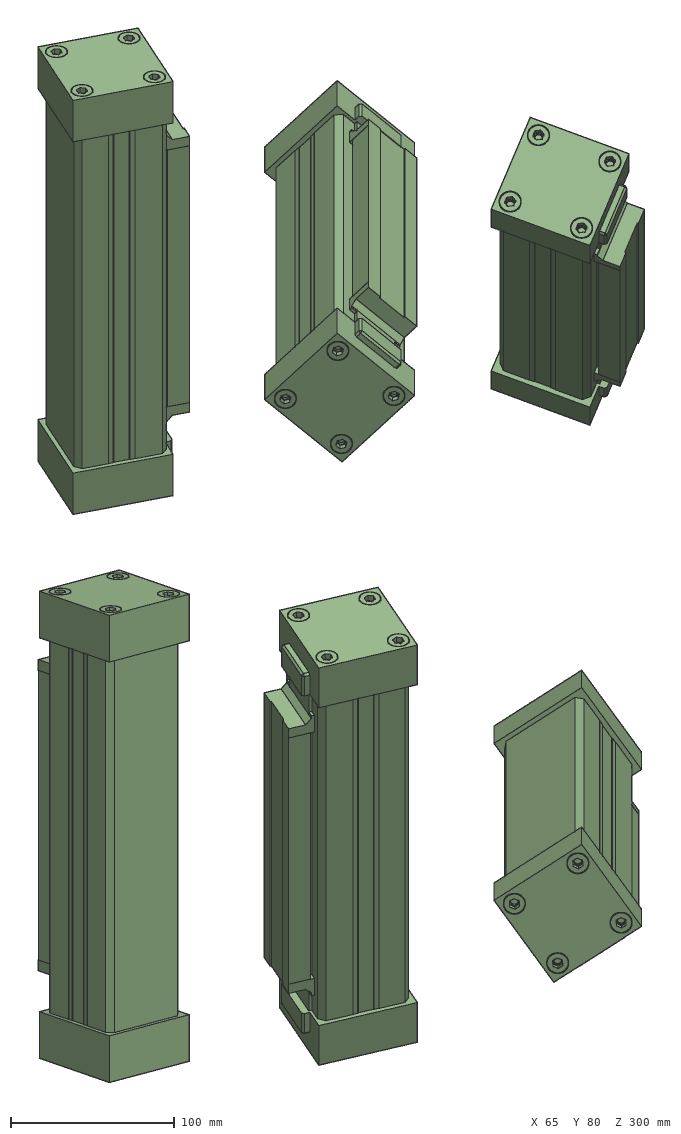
import cadquery as cq
import math

TOTAL_LENGTH = 300.0
CAP_SIDE = 65.0
CAP_LENGTH = 30.0
CAP_BACK = CAP_SIDE / 2
CAP_TOP = TOTAL_LENGTH / 2
TUBE_LENGTH = TOTAL_LENGTH - 2 * CAP_LENGTH
TUBE_WIDTH = 59.0
TUBE_FRONT = -29.5
TUBE_BACK = 30.5
TUBE_CHAMFER = 4.0

GROOVE_STEPS = [(17.2, 0.15), (10.8, 0.3), (10.0, 0.45)]
GROOVE_CENTRE = 0.15

BAND_WIDTH = 32.0
BAND_BACK = CAP_BACK

CLAMP_WIDTH = 35.4
CLAMP_LENGTH = 16.0
CLAMP_HEIGHT = 5.0
CLAMP_CHAMFER = 1.4

SCREW_SPACING = 47.0
HEAD_DIAMETER = 13.0
COUNTERBORE_DIAMETER = 13.5
HEAD_GAP_DEPTH = 1.0
SOCKET_ACROSS_FLATS = 6.0
SOCKET_DEPTH = 4.0
SOCKET_BORE_DIAMETER = 4.92
SOCKET_BORE_DEPTH = 6.0

CARRIAGE_LENGTH = 199.8
CARRIAGE_HEIGHT = 15.0
CARRIAGE_BACK = CAP_BACK + CARRIAGE_HEIGHT
FOOT_LENGTH = 211.4
FLARE = 3.8
END_WIDTH = 40.6
BODY_WIDTH = 40.4
BODY_LENGTH = 186.0
BODY_CLEARANCE = 0.7
NOTCH_WIDTH = 20.4
NOTCH_DEPTH = 0.8


def block(width, front, back, length):
    """Box centred on X and Z that spans front to back along Y."""
    return cq.Workplane("XY").box(width, back - front, length).translate((0, (front + back) / 2, 0))


def make_tube():
    """Chamfered tube with a stepped groove along both sides."""
    tube = block(TUBE_WIDTH, TUBE_FRONT, TUBE_BACK, TUBE_LENGTH).edges("|Z").chamfer(TUBE_CHAMFER)
    for side in (-1, 1):
        for width, depth in GROOVE_STEPS:
            cutter = cq.Workplane("XY").box(2 * depth, width, TUBE_LENGTH)
            tube = tube.cut(cutter.translate((side * TUBE_WIDTH / 2, GROOVE_CENTRE, 0)))
    return tube


def make_clamp():
    """Band clamp of the top cap, chamfered around its back, top and side edges."""
    clamp = block(CLAMP_WIDTH, CAP_BACK, CAP_BACK + CLAMP_HEIGHT, CLAMP_LENGTH)
    free_edges = "(>Y and (not <Z)) or (>Z and (not <Y))"
    clamp = clamp.faces(">Y or >Z").edges(free_edges).chamfer(CLAMP_CHAMFER)
    return clamp.translate((0, 0, CAP_TOP - CAP_LENGTH + CLAMP_LENGTH / 2))


def cut_screw_heads(cap):
    """Cut the ring gap around each screw head and the hexagon socket in it."""
    screws = (
        cq.Workplane("XY")
        .workplane(offset=CAP_TOP)
        .rect(SCREW_SPACING, SCREW_SPACING, forConstruction=True)
        .vertices()
    )
    head_gap = screws.circle(COUNTERBORE_DIAMETER / 2).circle(HEAD_DIAMETER / 2).extrude(-HEAD_GAP_DEPTH)
    socket_across_corners = SOCKET_ACROSS_FLATS / math.cos(math.pi / 6)
    socket = screws.polygon(6, socket_across_corners).extrude(-SOCKET_DEPTH)
    socket_bore = screws.circle(SOCKET_BORE_DIAMETER / 2).extrude(-SOCKET_BORE_DEPTH)
    return cap.cut(head_gap).cut(socket).cut(socket_bore)


def make_top_cap():
    """Top end cap with its band clamp and four screw heads."""
    cap = block(CAP_SIDE, -CAP_BACK, CAP_BACK, CAP_LENGTH).translate((0, 0, CAP_TOP - CAP_LENGTH / 2))
    return cut_screw_heads(cap.union(make_clamp()))


def make_housing():
    """Tube, band strip and both end caps as one solid."""
    band = block(BAND_WIDTH, TUBE_BACK, BAND_BACK, TUBE_LENGTH)
    top_cap = make_top_cap()
    bottom_cap = top_cap.mirror("XY")
    return make_tube().union(band).union(top_cap).union(bottom_cap)


def make_carriage():
    """Carriage whose two ends straddle the band strip and whose body clears it."""
    end_z = CARRIAGE_LENGTH / 2
    foot_z = FOOT_LENGTH / 2
    upper_outline = [
        (TUBE_BACK, foot_z),
        (BAND_BACK, foot_z),
        (BAND_BACK, end_z + FLARE),
        (BAND_BACK + FLARE, end_z),
        (CARRIAGE_BACK, end_z),
    ]
    lower_outline = [(y, -z) for y, z in reversed(upper_outline)]
    carriage = (
        cq.Workplane("YZ")
        .polyline(upper_outline + lower_outline)
        .close()
        .extrude(END_WIDTH / 2, both=True)
    )

    body_front = BAND_BACK + BODY_CLEARANCE
    carriage = carriage.cut(block(END_WIDTH, TUBE_BACK, body_front, BODY_LENGTH))
    side_step = (END_WIDTH - BODY_WIDTH) / 2
    for side in (-1, 1):
        cutter = block(2 * side_step, TUBE_BACK, CARRIAGE_BACK, BODY_LENGTH)
        carriage = carriage.cut(cutter.translate((side * END_WIDTH / 2, 0, 0)))

    carriage = carriage.cut(block(BAND_WIDTH, TUBE_BACK, BAND_BACK, FOOT_LENGTH))
    notch_floor = CARRIAGE_BACK - NOTCH_DEPTH
    return carriage.cut(block(NOTCH_WIDTH, notch_floor, CARRIAGE_BACK, CARRIAGE_LENGTH))


housing = make_housing()
carriage = make_carriage()
result = cq.Compound.makeCompound([housing.val(), carriage.val()])